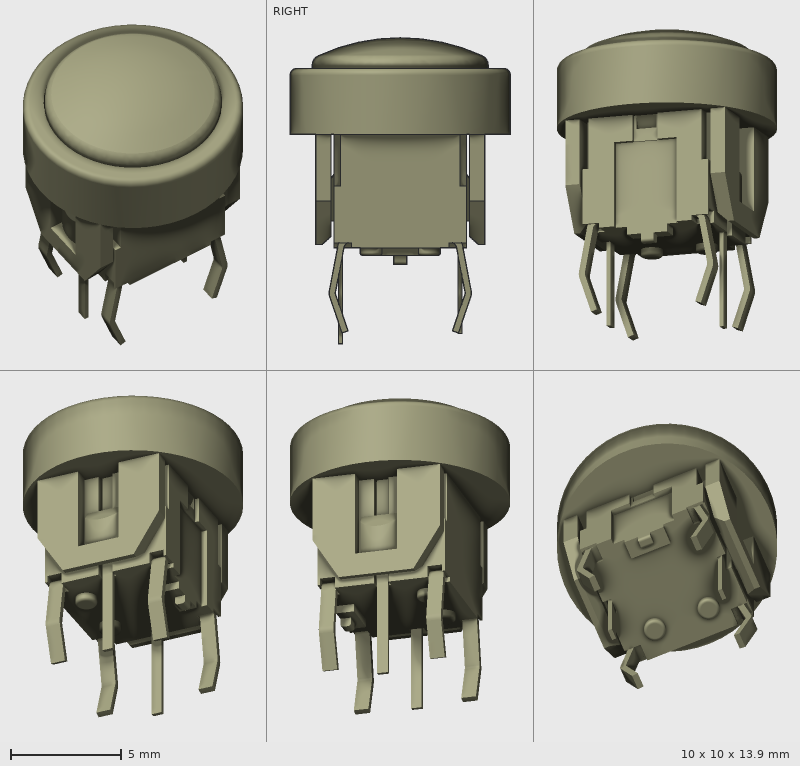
import cadquery as cq
import math


overall_height = 13.89

bezel_radius = 5.0
bezel_bottom = 5.14
bezel_top = 8.14
bezel_fillet = 0.3
bezel_bore_diameter = 8.1
bezel_bore_depth = 1.0
button_radius = 4.0
button_apex = 9.53
button_fillet = 0.5
dome_radius = 8.89

body_width = 6.03
body_half = body_width / 2
corner_notch_length = 0.7
corner_notch_depth = 0.3
corner_notch_floor = 2.79

recess_width = 3.0
recess_depth = 0.28
recess_top = 3.93
plate_width = 1.92
plate_drop = 0.36
plate_inner_x = 1.89
tab_width = 0.6
tab_thickness = 0.5
tab_bottom = -0.76
tab_fillet = 0.14

slot_width = 1.2
slot_depth = 0.2
latch_width = 0.97
latch_floor = 4.51
latch_depth = 0.3

wing_inner_y = 3.14
wing_outer_y = 3.83
wing_bottom = 0.14
wing_corner_height = 2.11
wing_bottom_half = 1.76
wing_bevel_width = 0.42
wing_bevel_height = 0.38
window_width = 2.0
window_bottom = 1.21

lug_width = 1.83
lug_radius = 1.85
lug_reach = 3.5
lug_top = 3.33
lug_front_height = 2.6

pin_width = 0.5
pin_inner_y = 2.61
pin_outer_y = 2.8
pin_groove_width = 0.7
front_pin_bottom = button_apex - overall_height
back_pin_bottom = -3.89

leg_x = 2.54
leg_width = 0.7
leg_thickness = 0.29
leg_bend_radius = 0.4
leg_path = [(1.95, 0.39), (2.63, 0.39), (3.1, -2.08), (2.5, -3.82)]
leg_slot_inner_y = 2.36
leg_slot_top = leg_path[0][1] + leg_thickness / 2
leg_pocket_inner_y = 2.22
leg_pocket_height = 0.22

standoff_radius = 0.5
standoff_height = 0.36
standoff_fillet = 0.14
standoff_x = 1.72
standoff_y = 1.32


def block(x_min, x_max, y_min, y_max, z_min, z_max):
    """Box between two opposite corners."""
    size = (x_max - x_min, y_max - y_min, z_max - z_min)
    return cq.Workplane("XY").box(*size, centered=False).translate((x_min, y_min, z_min))


def both_y_sides(shape):
    """The shape together with its copy mirrored to the other Y side."""
    return shape.union(shape.mirror("XZ"))


def make_bezel():
    bezel = cq.Workplane("XY").workplane(offset=bezel_bottom).circle(bezel_radius)
    bezel = bezel.extrude(bezel_top - bezel_bottom).faces(">Z").edges().fillet(bezel_fillet)
    return bezel.faces(">Z").workplane().hole(bezel_bore_diameter, bezel_bore_depth)


def make_button():
    bottom = bezel_top - bezel_bore_depth
    dome_center_z = button_apex - dome_radius
    rim_z = dome_center_z + math.sqrt(dome_radius**2 - button_radius**2)
    half_angle = math.asin(button_radius / dome_radius) / 2
    dome_midpoint = (dome_radius * math.sin(half_angle), dome_center_z + dome_radius * math.cos(half_angle))
    button = (
        cq.Workplane("XZ")
        .moveTo(0, bottom)
        .lineTo(button_radius, bottom)
        .lineTo(button_radius, rim_z)
        .threePointArc(dome_midpoint, (0, button_apex))
        .close()
        .revolve(360, (0, 0, 0), (0, 1, 0))
    )
    rim = cq.selectors.NearestToPointSelector((0, 0, rim_z))
    return button.edges("%CIRCLE").edges(rim).fillet(button_fillet)


def make_body():
    body = block(-body_half, body_half, -body_half, body_half, 0, bezel_bottom)

    notch_x = body_half - corner_notch_length
    notch_y = body_half - corner_notch_depth
    notch = block(notch_x, body_half, notch_y, body_half, corner_notch_floor, bezel_bottom)
    leg_pocket = block(leg_x - leg_width / 2, body_half, leg_pocket_inner_y, body_half, 0, leg_pocket_height)
    leg_slot = block(
        leg_x - leg_width / 2, leg_x + leg_width / 2, leg_slot_inner_y, body_half, 0, leg_slot_top
    )
    corner_cut = notch.union(leg_pocket).union(leg_slot)
    corner_cuts = both_y_sides(corner_cut.union(corner_cut.mirror("YZ")))

    groove_half = pin_groove_width / 2
    pin_groove = block(-groove_half, groove_half, pin_inner_y, body_half, 0, bezel_bottom)
    return body.cut(corner_cuts).cut(both_y_sides(pin_groove))


def cut_key_face(body):
    """Recess and latch slot in the -X face."""
    recess = block(
        -body_half, recess_depth - body_half, -recess_width / 2, recess_width / 2, 0, recess_top
    )
    slot = block(
        -body_half, slot_depth - body_half, -slot_width / 2, slot_width / 2, recess_top, bezel_bottom
    )
    latch_outer_x = slot_depth - body_half
    latch = (
        cq.Workplane("XZ")
        .polyline([
            (latch_outer_x, latch_floor),
            (latch_outer_x + latch_depth, latch_floor),
            (latch_outer_x, bezel_bottom),
        ])
        .close()
        .extrude(latch_width / 2, both=True)
    )
    return body.cut(recess).cut(slot).cut(latch)


def make_key_plate():
    outer_x = recess_depth - body_half
    plate = block(outer_x, -plate_inner_x, -plate_width / 2, plate_width / 2, -plate_drop, 0)
    tab = block(outer_x, outer_x + tab_thickness, -tab_width / 2, tab_width / 2, tab_bottom, 0)
    tab = tab.faces("<Z").edges("|Y").fillet(tab_fillet)
    return plate.union(tab)


def make_wing():
    wing = (
        cq.Workplane("XZ")
        .polyline([
            (-body_half, bezel_bottom),
            (-body_half, wing_corner_height),
            (-wing_bottom_half, wing_bottom),
            (wing_bottom_half, wing_bottom),
            (body_half, wing_corner_height),
            (body_half, bezel_bottom),
        ])
        .close()
        .extrude(-(wing_outer_y - wing_inner_y))
        .translate((0, wing_inner_y, 0))
    )
    bevel = (
        cq.Workplane("YZ")
        .polyline([
            (wing_inner_y, wing_bottom),
            (wing_inner_y + wing_bevel_width, wing_bottom),
            (wing_inner_y, wing_bottom + wing_bevel_height),
        ])
        .close()
        .extrude(body_half, both=True)
    )
    window_half = window_width / 2
    window = block(-window_half, window_half, wing_inner_y, wing_outer_y, window_bottom, bezel_bottom)
    return wing.cut(bevel).cut(window)


def make_lug():
    """Round-fronted lug with a sloping top."""
    profile = (
        cq.Workplane("YZ")
        .polyline([
            (body_half, window_bottom),
            (lug_reach, window_bottom),
            (lug_reach, lug_front_height),
            (body_half, lug_top),
        ])
        .close()
        .extrude(lug_width / 2, both=True)
    )
    round_front = (
        cq.Workplane("XY").center(0, lug_reach - lug_radius).circle(lug_radius).extrude(bezel_bottom)
    )
    return profile.intersect(round_front)


def make_pin(bottom):
    return block(-pin_width / 2, pin_width / 2, pin_inner_y, pin_outer_y, bottom, bezel_bottom)


def make_leg():
    """Flat strip swept along leg_path with rounded bends."""
    path = cq.Workplane("YZ").workplane(offset=leg_x).polyline(leg_path).wire().val()
    bends = path.Vertices()[1:-1]
    path = path.fillet2D(leg_bend_radius, bends)
    start_y, start_z = leg_path[0]
    section = cq.Workplane("XZ", origin=(leg_x, start_y, start_z)).rect(leg_width, leg_thickness)
    return section.sweep(cq.Workplane(path))


def make_standoff():
    standoff = cq.Workplane("XY").center(standoff_x, standoff_y).circle(standoff_radius)
    return standoff.extrude(-standoff_height).faces("<Z").edges().fillet(standoff_fillet)


leg = make_leg()
result = (
    make_bezel()
    .union(make_button())
    .union(cut_key_face(make_body()))
    .union(make_key_plate())
    .union(both_y_sides(make_wing()))
    .union(both_y_sides(make_lug()))
    .union(make_pin(back_pin_bottom))
    .union(make_pin(front_pin_bottom).mirror("XZ"))
    .union(both_y_sides(leg.union(leg.mirror("YZ"))))
    .union(both_y_sides(make_standoff()))
)